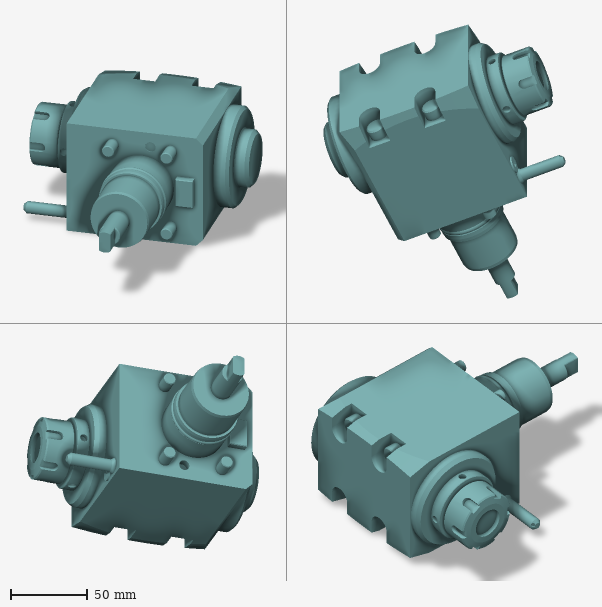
import cadquery as cq
import math


block_left = -51.2
block_right = 41.7
block_depth = 94.9
block_height = 78.0
block_chamfer = 4.6
block_centre = (block_left + block_right) / 2

relief_radius = 381.3
relief_drop = 1.7
relief_angle = 15.0

spindle_y = 59.9
flange_radius = 34.5
flange_length = 7.8
flange_chamfer_length = 3.0
flange_chamfer_depth = 1.9
ring_radius = 23.8
ring_length = 8.5
ring_chamfer = 0.4
spanner_hole_count = 4
spanner_hole_radius = 2.6
spanner_hole_depth = 3.3
spanner_hole_tip = 1.5
neck_radius = 16.2
neck_length = 1.1
cover_radius = 34.0
cover_length = 10.0
cover_chamfer = 2.0
knob_radius = 19.3
knob_length = 9.5
knob_chamfer = 2.5
knob_flare = 0.7

nut_radius = 21.0
nut_length = 20.0
nut_face_radius = 14.7
nut_cone_radius = 20.3
nut_cone_length = 1.1
nut_front_chamfer_length = 2.0
nut_rear_chamfer = 0.5
nut_recess_radius = 10.2
nut_recess_depth = 3.0
nut_slot_count = 6
nut_slot_width = 6.3
nut_slot_length = 12.0
nut_slot_floor_radius = 17.9

shank_radius = 22.0
shank_base_length = 19.2
seal_groove_radius = 20.0
seal_groove_width = 3.7
seal_section_radius = 1.58
seal_outer_radius = 22.5
collar_length = 5.4
collar_taper_length = 2.5
collar_end_radius = 21.5
pilot_radius = 19.9
pilot_end = 56.2
pilot_end_radius = 19.3
pilot_taper_length = 2.5
drive_radius = 7.3
drive_end = 91.1
tang_length = 11.3
tang_width = 7.8
drive_chamfer = 0.5
tang_root_fillet = 0.5
tang_edge_chamfer = 0.4

bolt_x = 19.9
bolt_z = 27.5
bolt_radius = 4.0
bolt_projection = 11.9
bolt_chamfer = 0.5
bolt_head_radius = 6.5
bolt_head_length = 8.0
bolt_head_chamfer = 1.0
bolt_slot_width = 15.0
bolt_slot_depth = 17.0

key_left = 24.2
key_width = 11.9
key_height = 19.7
key_projection = 5.0
key_chamfer = 0.5
dowel_x = 6.0
dowel_z = 28.8
dowel_radius = 3.5
upper_dowel_depth = 1.0
lower_dowel_depth = 5.5

pipe_y = 12.3
pipe_z = -31.2
pipe_radius = 4.0
pipe_length = 32.4
pipe_tip_radius = 2.2
pipe_tip_length = 2.2
ball_radius = 5.5
ball_sink = 1.58
nozzle_radius = 1.5
nozzle_depth = 2.8
nozzle_roll = 25.0
plug_y = 22.1
plug_radius = 5.5
plug_thickness = 1.1
plug_socket_width = 3.2
plug_socket_depth = 2.2

ring_front = block_left - flange_length - ring_length
nut_rear = ring_front - neck_length
nut_front = nut_rear - nut_length


def turned_x(points):
    """Solid turned about the spindle axis from (x, radius) points."""
    outline = cq.Workplane("XY").polyline(points).close()
    return outline.revolve(360, (0, 0, 0), (1, 0, 0)).translate((0, spindle_y, 0))


def turned_y(points):
    """Solid turned about the Y axis from (radius, y) points."""
    return cq.Workplane("XY").polyline(points).close().revolve(360, (0, 0, 0), (0, 1, 0))


def rod_x(x, y, z, radius, length):
    """Cylinder that starts at the given point and runs toward +X."""
    return cq.Workplane("YZ", origin=(x, y, z)).circle(radius).extrude(length)


def rod_y(x, y, z, radius, length):
    """Cylinder that starts at the given point and runs toward -Y."""
    return cq.Workplane("XZ", origin=(x, y, z)).circle(radius).extrude(length)


def relief_cone():
    """Cone about Y that widens toward -Y and whose upper side trims the rear top edge."""
    front_radius = relief_radius + block_depth * math.tan(math.radians(relief_angle))
    cone = turned_y([(0, 0), (front_radius, 0), (relief_radius, block_depth), (0, block_depth)])
    axis_z = block_height / 2 - relief_drop - relief_radius
    return cone.translate((block_centre, 0, axis_z))


def make_block():
    block = (
        cq.Workplane("XY")
        .box(block_right - block_left, block_depth, block_height)
        .edges(">X and |Y")
        .chamfer(block_chamfer)
        .translate((block_centre, block_depth / 2, 0))
    )
    upper_cone = relief_cone()
    return block.intersect(upper_cone).intersect(upper_cone.mirror("XY"))


def make_flange():
    end = block_left - flange_length
    return turned_x([
        (block_left, 0),
        (block_left, flange_radius),
        (end + flange_chamfer_length, flange_radius),
        (end, flange_radius - flange_chamfer_depth),
        (end, 0),
    ])


def make_spanner_hole():
    """Drilled hole with a conical bottom, at the top of the spanner ring."""
    floor = ring_radius - spanner_hole_depth
    outline = cq.Workplane("XZ").polyline([
        (0, floor - spanner_hole_tip),
        (spanner_hole_radius, floor),
        (spanner_hole_radius, ring_radius),
        (0, ring_radius),
    ]).close()
    hole = outline.revolve(360, (0, 0, 0), (0, 1, 0))
    return hole.translate((ring_front + ring_length / 2, spindle_y, 0))


def make_spanner_ring():
    ring_rear = ring_front + ring_length
    ring = turned_x([
        (ring_rear, 0),
        (ring_rear, ring_radius - ring_chamfer),
        (ring_rear - ring_chamfer, ring_radius),
        (ring_front + ring_chamfer, ring_radius),
        (ring_front, ring_radius - ring_chamfer),
        (ring_front, neck_radius),
        (nut_rear, neck_radius),
        (nut_rear, 0),
    ])
    hole = make_spanner_hole()
    for index in range(spanner_hole_count):
        ring = ring.cut(about_spindle(hole, index * 360 / spanner_hole_count))
    return ring


def about_spindle(shape, angle):
    """Copy of a shape turned about the spindle axis."""
    return shape.rotate((0, spindle_y, 0), (1, spindle_y, 0), angle)


def make_cover_and_knob():
    cover_end = block_right + cover_length
    knob_end = cover_end + knob_length
    return turned_x([
        (block_right, 0),
        (block_right, cover_radius),
        (cover_end - cover_chamfer, cover_radius),
        (cover_end, cover_radius - cover_chamfer),
        (cover_end, knob_radius + knob_flare),
        (cover_end + knob_flare, knob_radius),
        (knob_end - knob_chamfer, knob_radius),
        (knob_end, knob_radius - knob_chamfer),
        (knob_end, 0),
    ])


def make_shank():
    groove_end = shank_base_length + seal_groove_width
    collar_end = groove_end + collar_length
    shank = turned_y([
        (0, 0),
        (shank_radius, 0),
        (shank_radius, -shank_base_length),
        (seal_groove_radius, -shank_base_length),
        (seal_groove_radius, -groove_end),
        (shank_radius, -groove_end),
        (shank_radius, collar_taper_length - collar_end),
        (collar_end_radius, -collar_end),
        (pilot_radius, -collar_end),
        (pilot_radius, pilot_taper_length - pilot_end),
        (pilot_end_radius, -pilot_end),
        (0, -pilot_end),
    ])
    seal = (
        cq.Workplane("XY")
        .moveTo(seal_outer_radius - seal_section_radius, -shank_base_length - seal_section_radius)
        .circle(seal_section_radius)
        .revolve(360, (0, 0, 0), (0, 1, 0))
    )
    return shank.union(seal)


def make_drive_shaft():
    """Round shaft that ends in a flat tang."""
    shoulder = drive_end - tang_length
    shaft = rod_y(0, -pilot_end, 0, drive_radius, shoulder - pilot_end)
    shaft = shaft.faces("<Y").chamfer(drive_chamfer)
    tang = rod_y(0, -pilot_end, 0, drive_radius, drive_end - pilot_end)
    flats = cq.Workplane("XY").box(tang_width, 2 * drive_end, 2 * drive_radius)
    tang = tang.intersect(flats).edges("|Y").chamfer(tang_edge_chamfer)
    shaft = shaft.union(tang)
    root = cq.selectors.BoxSelector(
        (-tang_width, -shoulder - tang_root_fillet / 2, -drive_radius),
        (tang_width, -shoulder + tang_root_fillet / 2, drive_radius),
    )
    return shaft.edges(root).edges("|Z").fillet(tang_root_fillet)


def bolt_positions():
    return [(side_x * bolt_x, side_z) for side_x in (-1, 1) for side_z in (-1, 1)]


def cut_bolt_slot(block, x, side):
    """Round-bottomed slot from the rear, open to the top or bottom of the block."""
    z = side * bolt_z
    slot = rod_y(x, block_depth, z, bolt_slot_width / 2, bolt_slot_depth)
    opening = cq.Workplane("XY").box(bolt_slot_width, bolt_slot_depth, bolt_z)
    slot = slot.union(opening.translate((x, block_depth - bolt_slot_depth / 2, z + side * bolt_z / 2)))
    return block.cut(slot)


def make_bolt(x, side):
    """Bolt head in its slot and bolt end in front of the block."""
    z = side * bolt_z
    head_end = block_depth - bolt_slot_depth + bolt_head_length
    head = rod_y(x, head_end, z, bolt_head_radius, bolt_head_length)
    head = head.faces(">Y").chamfer(bolt_head_chamfer)
    tip = rod_y(x, 0, z, bolt_radius, bolt_projection)
    return head.union(tip.faces("<Y").chamfer(bolt_chamfer))


def make_key():
    key = cq.Workplane("XY").box(key_width, key_projection, key_height)
    key = key.faces("<Y").edges("not >X").chamfer(key_chamfer)
    return key.translate((key_left + key_width / 2, -key_projection / 2, 0))


def make_coolant_pipe():
    start = block_left - pipe_length
    pipe = rod_x(start, pipe_y, pipe_z, pipe_radius, pipe_length)
    pipe = pipe.faces("<X").chamfer(pipe_tip_length, pipe_radius - pipe_tip_radius)
    tilt = math.atan2(pipe_tip_length, pipe_radius - pipe_tip_radius)
    middle_radius = (pipe_radius + pipe_tip_radius) / 2
    nozzle = cq.Workplane(cq.Plane(
        origin=(start + pipe_tip_length / 2, pipe_y + middle_radius, pipe_z),
        xDir=(0, 0, 1),
        normal=(-math.cos(tilt), math.sin(tilt), 0),
    )).circle(nozzle_radius).extrude(nozzle_depth, both=True)
    nozzle = nozzle.rotate((0, pipe_y, pipe_z), (1, pipe_y, pipe_z), nozzle_roll)
    ball = cq.Workplane("XY").sphere(ball_radius).translate((block_left + ball_sink, pipe_y, pipe_z))
    return pipe.cut(nozzle).union(ball)


def make_plug():
    return rod_x(block_left - plug_thickness, plug_y, pipe_z, plug_radius, plug_thickness)


def make_plug_socket():
    corner_diameter = plug_socket_width / math.cos(math.radians(30))
    start = cq.Workplane("YZ", origin=(block_left - plug_thickness, plug_y, pipe_z))
    return start.polygon(6, corner_diameter).extrude(plug_socket_depth)


def make_housing():
    housing = make_block()
    for x, side in bolt_positions():
        housing = cut_bolt_slot(housing, x, side)
    for side, depth in ((-1, lower_dowel_depth), (1, upper_dowel_depth)):
        housing = housing.cut(rod_y(side * dowel_x, depth, side * dowel_z, dowel_radius, depth))
    for feature in (
        make_flange(),
        make_spanner_ring(),
        make_cover_and_knob(),
        make_shank(),
        make_drive_shaft(),
        make_key(),
        make_coolant_pipe(),
        make_plug(),
    ):
        housing = housing.union(feature)
    for x, side in bolt_positions():
        housing = housing.union(make_bolt(x, side))
    return housing.cut(make_plug_socket())


def make_collet_nut():
    nut = turned_x([
        (nut_rear, 0),
        (nut_rear, nut_radius - nut_rear_chamfer),
        (nut_rear - nut_rear_chamfer, nut_radius),
        (nut_front + nut_front_chamfer_length, nut_radius),
        (nut_front + nut_cone_length, nut_cone_radius),
        (nut_front, nut_face_radius),
        (nut_front, nut_recess_radius),
        (nut_front + nut_recess_depth, nut_recess_radius),
        (nut_front + nut_recess_depth, 0),
    ])
    end_radius = nut_slot_width / 2
    straight = nut_slot_length - end_radius
    slot = (
        cq.Workplane("XZ", origin=(nut_front, spindle_y - nut_slot_floor_radius, 0))
        .moveTo(0, -end_radius)
        .lineTo(straight, -end_radius)
        .threePointArc((nut_slot_length, 0), (straight, end_radius))
        .lineTo(0, end_radius)
        .close()
        .extrude(nut_radius)
    )
    for index in range(nut_slot_count):
        nut = nut.cut(about_spindle(slot, index * 360 / nut_slot_count))
    return nut


housing = make_housing()
collet_nut = make_collet_nut()
result = cq.Compound.makeCompound([housing.solids().val(), collet_nut.solids().val()])